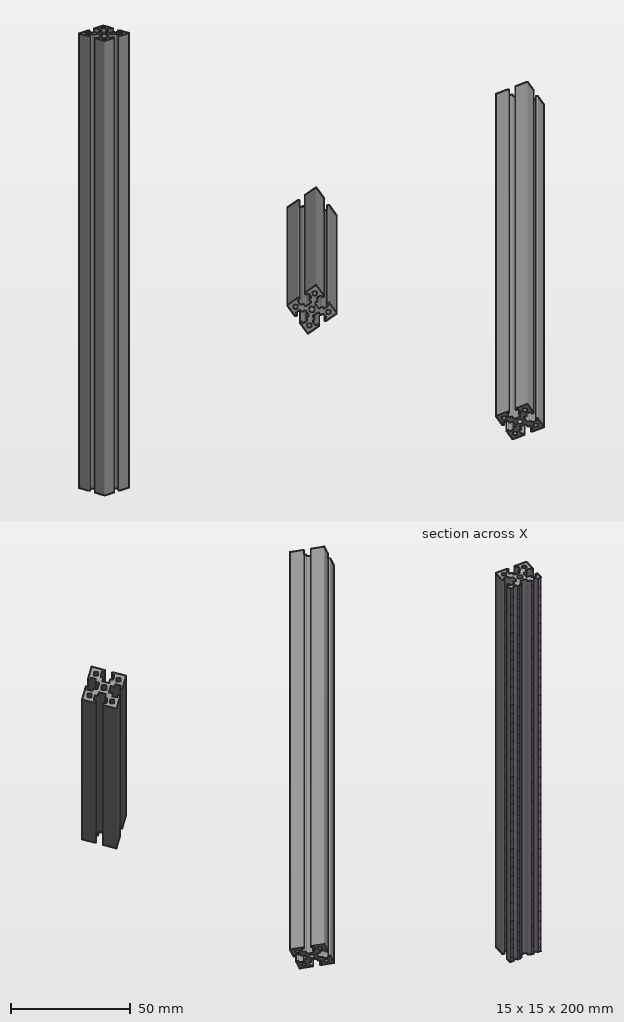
import cadquery as cq

width = 15.0
length = 200.0
corner_radius = 0.1

opening_width = 3.0
lip_thickness = 1.0
channel_width = 5.5
channel_depth = 3.3
slot_depth = 5.0
slot_edge_radius = 0.3

center_bore_diameter = 2.5
corner_bore_diameter = 1.95
corner_bore_offset = 4.9

SIDES = 4


def make_slot(side):
    """T-slot cutter: a straight groove crossed by a wider channel, turned to the given side."""
    face = width / 2
    channel_height = channel_depth - lip_thickness
    groove = (
        cq.Workplane("XY")
        .center(0, face - slot_depth / 2)
        .rect(opening_width, slot_depth)
        .extrude(length)
    )
    channel = (
        cq.Workplane("XY")
        .center(0, face - lip_thickness - channel_height / 2)
        .rect(channel_width, channel_height)
        .extrude(length)
    )
    return groove.union(channel).rotate((0, 0, 0), (0, 0, 1), side * 360 / SIDES)


def is_outer_corner(edge):
    """True for the four lengthwise edges at the corners of the square bar."""
    middle = edge.Center()
    smaller_offset = min(abs(middle.x), abs(middle.y))
    return smaller_offset > width / 2 - corner_radius


def make_profile():
    """Square bar with a T-slot in each side and all lengthwise edges rounded."""
    bar = cq.Workplane("XY").rect(width, width).extrude(length)
    for side in range(SIDES):
        bar = bar.cut(make_slot(side))
    bar = bar.edges("|Z").filter(lambda edge: not is_outer_corner(edge)).fillet(slot_edge_radius)
    return bar.edges("|Z").filter(is_outer_corner).fillet(corner_radius)


def make_center_bore():
    return cq.Workplane("XY").circle(center_bore_diameter / 2).extrude(length)


def make_corner_bores():
    """Round bores, one in each corner."""
    spacing = 2 * corner_bore_offset
    return (
        cq.Workplane("XY")
        .rarray(spacing, spacing, 2, 2)
        .circle(corner_bore_diameter / 2)
        .extrude(length)
    )


result = make_profile().cut(make_center_bore()).cut(make_corner_bores())